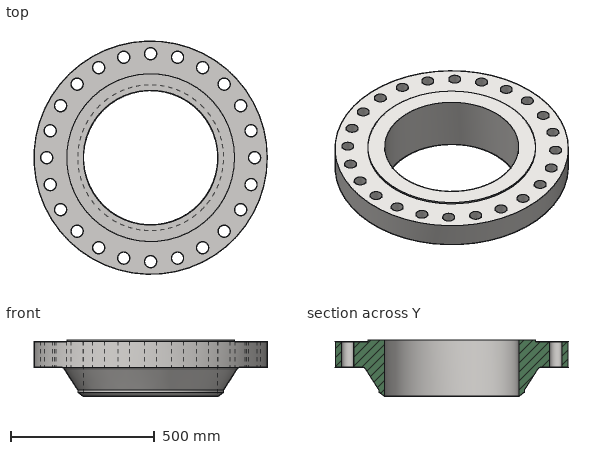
import cadquery as cq
import math

overall_height = 196.85
flange_diameter = 812.8
flange_thickness = 88.9
raised_face_diameter = 584.2
raised_face_height = 6.35

hub_base_diameter = 609.6
pipe_diameter = 508.0
neck_base_height = 22.2
hub_fillet_radius = 14.0

wall_thickness = 20.62
weld_land = 1.6
weld_bevel_angle = 37.5

bolt_circle_diameter = 723.9
bolt_hole_diameter = 41.275
bolt_hole_count = 24

bore_diameter = pipe_diameter - 2 * wall_thickness
flange_top = overall_height - raised_face_height
flange_bottom = flange_top - flange_thickness
bevel_height = (wall_thickness - weld_land) * math.tan(math.radians(weld_bevel_angle))


def make_body():
    """Revolve the bored half section about Z."""
    bore_radius = bore_diameter / 2
    pipe_radius = pipe_diameter / 2
    hub_base_radius = hub_base_diameter / 2
    flange_radius = flange_diameter / 2
    raised_face_radius = raised_face_diameter / 2

    cone_angle = math.atan2(flange_bottom - neck_base_height, hub_base_radius - pipe_radius)
    tangent_length = hub_fillet_radius * math.tan(cone_angle / 2)
    fillet_center_radius = hub_base_radius + tangent_length
    fillet_center_height = flange_bottom - hub_fillet_radius

    def fillet_point(angle):
        return (
            fillet_center_radius - hub_fillet_radius * math.sin(angle),
            fillet_center_height + hub_fillet_radius * math.cos(angle),
        )

    section = (
        cq.Workplane("XZ")
        .moveTo(bore_radius, 0)
        .lineTo(bore_radius + weld_land, 0)
        .lineTo(pipe_radius, bevel_height)
        .lineTo(pipe_radius, neck_base_height)
        .lineTo(*fillet_point(cone_angle))
        .threePointArc(fillet_point(cone_angle / 2), fillet_point(0))
        .lineTo(flange_radius, flange_bottom)
        .lineTo(flange_radius, flange_top)
        .lineTo(raised_face_radius, flange_top)
        .lineTo(raised_face_radius, overall_height)
        .lineTo(bore_radius, overall_height)
        .close()
    )
    return section.revolve(360, (0, 0, 0), (0, 1, 0))


def make_bolt_holes():
    """Cylinders through the flange, evenly spaced with one on +X."""
    return (
        cq.Workplane("XY", origin=(0, 0, flange_bottom))
        .polarArray(bolt_circle_diameter / 2, 0, 360, bolt_hole_count)
        .circle(bolt_hole_diameter / 2)
        .extrude(flange_thickness)
    )


result = make_body().cut(make_bolt_holes())